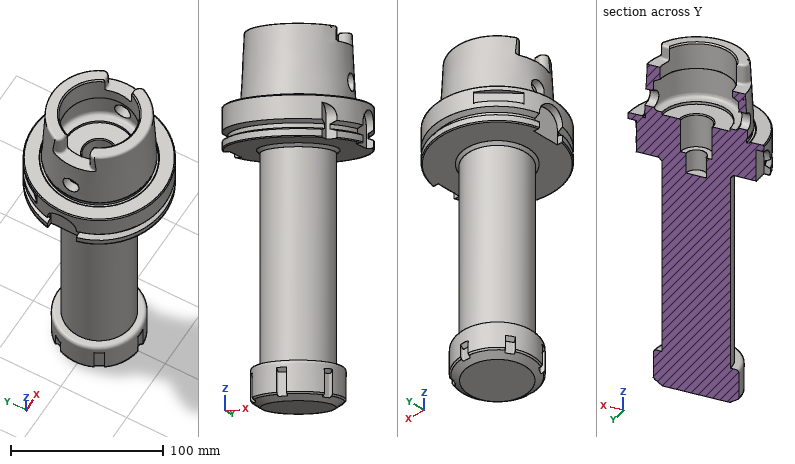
import cadquery as cq
import math

total_length = 250.0
nut_top = 26.2
flange_bottom = 171.5
rim_top = 176.8
neck_bottom = 178.2
neck_top = 181.2
collar_bottom = 183.5
flange_top = 200.0
taper_base = 202.2

shaft_radius = 25.2
nut_radius = 31.5
flange_radius = 50.0
neck_radius = 46.2
taper_base_radius = 38.0
taper_end_radius = 35.5

nut_face_radius = 24.8
nut_lead_radius = 30.5
nut_lead_height = 3.8
nut_wall_bottom = 5.0
nut_top_fillet = 2.5

shaft_chamfer = 2.2
flange_chamfer = 0.8
shank_end_fillet = 1.8

relief_inner_radius = 37.2
relief_outer_radius = 39.0
relief_depth = 1.0
relief_chamfer = 0.5

entry_radius = 26.5
entry_chamfer = 1.0
shoulder_z = 230.5
shoulder_angle = 60.0
chamber_radius = 31.0
chamber_floor = 206.5
chamber_fillet = 3.0
pilot_radius = 24.8
pilot_floor = 204.5
thread_radius = 12.2
thread_chamfer = 0.8
thread_floor = 180.0
coolant_radius = 7.2
coolant_floor = 165.0

drive_width = 20.0
drive_floors = {-1: 235.2, 1: 239.8}
drive_floor_fillet = 1.8
prong_flat_x = 32.2
prong_fillet = 4.5

cross_hole_radius = 6.0
cross_hole_z = 214.5

gripper_widths = {-1: 22.0, 1: 20.0}
gripper_top = 195.0
gripper_floor = 44.0

notch_floor_x = 31.2
notch_wall_y = -31.5
notch_radius = 9.2
notch_top = 195.0

chip_angle = 135
chip_width = 33.0
chip_bottom = 187.8
chip_top = 196.2
chip_floor = 46.5

spanner_count = 6
spanner_start_angle = 30
spanner_width = 6.8
spanner_floor = 28.8
spanner_fillet = 0.8
tall_spanner_top = 21.5
short_spanner_top = 14.8


def turn(points):
    """Revolve an (R, Z) outline about the Z axis."""
    return cq.Workplane("XZ").polyline(points).close().revolve(360, (0, 0, 0), (0, 1, 0))


def nut():
    blank = turn([
        (0, 0),
        (nut_face_radius, 0),
        (nut_lead_radius, nut_lead_height),
        (nut_radius, nut_wall_bottom),
        (nut_radius, nut_top),
        (0, nut_top),
    ])
    return blank.faces(">Z").edges().fillet(nut_top_fillet)


def holder_body():
    relief_floor = flange_top - relief_depth
    return turn([
        (0, nut_wall_bottom),
        (shaft_radius, nut_wall_bottom),
        (shaft_radius, flange_bottom - shaft_chamfer),
        (shaft_radius + shaft_chamfer, flange_bottom),
        (flange_radius - flange_chamfer, flange_bottom),
        (flange_radius, flange_bottom + flange_chamfer),
        (flange_radius, rim_top),
        (neck_radius, neck_bottom),
        (neck_radius, neck_top),
        (flange_radius, collar_bottom),
        (flange_radius, flange_top - flange_chamfer),
        (flange_radius - flange_chamfer, flange_top),
        (relief_outer_radius + relief_chamfer, flange_top),
        (relief_outer_radius, flange_top - relief_chamfer),
        (relief_outer_radius, relief_floor),
        (relief_inner_radius, relief_floor),
        (relief_inner_radius, taper_base - relief_chamfer),
        (taper_base_radius, taper_base),
        (taper_end_radius, total_length),
        (0, total_length),
    ])


def shank_interior():
    shoulder_drop = (chamber_radius - entry_radius) / math.tan(math.radians(shoulder_angle))
    chamber = turn([
        (0, chamber_floor),
        (chamber_radius, chamber_floor),
        (chamber_radius, shoulder_z - shoulder_drop),
        (entry_radius, shoulder_z),
        (entry_radius, total_length - entry_chamfer),
        (entry_radius + entry_chamfer, total_length),
        (0, total_length),
    ])
    chamber = chamber.faces("<Z").edges().fillet(chamber_fillet)
    thread_core_radius = thread_radius - thread_chamfer
    coolant_bore = turn([
        (0, coolant_floor),
        (coolant_radius, coolant_floor),
        (coolant_radius, thread_floor),
        (thread_core_radius, thread_floor),
        (thread_core_radius, pilot_floor - thread_chamfer),
        (thread_radius, pilot_floor),
        (pilot_radius, pilot_floor),
        (pilot_radius, chamber_floor),
        (0, chamber_floor),
    ])
    return chamber.union(coolant_bore)


def drive_slot(side):
    """Slot that opens, round two rounded prong corners, onto a flat across the prong ends."""
    floor = drive_floors[side]
    half = drive_width / 2
    cutter = (
        cq.Workplane("XY", origin=(0, 0, floor))
        .polyline([
            (0, -half),
            (prong_flat_x, -half),
            (prong_flat_x, -flange_radius),
            (flange_radius, -flange_radius),
            (flange_radius, flange_radius),
            (prong_flat_x, flange_radius),
            (prong_flat_x, half),
            (0, half),
        ])
        .close()
        .extrude(total_length - floor)
    )
    prong_corners = cq.selectors.BoxSelector(
        (prong_flat_x - prong_fillet, -half - prong_fillet, floor),
        (prong_flat_x + prong_fillet, half + prong_fillet, total_length),
    )
    cutter = cutter.edges("|Z").edges(prong_corners).fillet(prong_fillet)
    cutter = cutter.faces("<Z").edges("not(<X or >X or <Y or >Y)").fillet(drive_floor_fillet)
    return cutter if side > 0 else cutter.rotate((0, 0, 0), (0, 0, 1), 180)


def cross_hole():
    return (
        cq.Workplane("YZ", origin=(-flange_radius, 0, cross_hole_z))
        .circle(cross_hole_radius)
        .extrude(2 * flange_radius)
    )


def gripper_slot(side):
    half = gripper_widths[side] / 2
    spring_z = gripper_top - half
    return (
        cq.Workplane("YZ", origin=(side * gripper_floor, 0, 0))
        .moveTo(-half, flange_bottom)
        .lineTo(-half, spring_z)
        .threePointArc((0, gripper_top), (half, spring_z))
        .lineTo(half, flange_bottom)
        .close()
        .extrude(side * flange_radius)
    )


def orientation_notch():
    """Notch with a rounded upper corner, open through the flange bottom and side."""
    return (
        cq.Workplane("YZ", origin=(notch_floor_x, 0, 0))
        .moveTo(notch_wall_y, flange_bottom)
        .lineTo(notch_wall_y, notch_top - notch_radius)
        .radiusArc((notch_wall_y - notch_radius, notch_top), -notch_radius)
        .lineTo(-flange_radius, notch_top)
        .lineTo(-flange_radius, flange_bottom)
        .close()
        .extrude(flange_radius)
    )


def chip_pocket():
    return (
        cq.Workplane("XY", origin=(chip_floor, 0, chip_bottom))
        .box(flange_radius, chip_width, chip_top - chip_bottom, centered=(False, True, False))
        .rotate((0, 0, 0), (0, 0, 1), chip_angle)
    )


def spanner_slot(angle, top):
    """Parallel-walled slot with a ceiling that slopes down to its floor at 45 degrees."""
    depth = nut_radius - spanner_floor
    cutter = (
        cq.Workplane("XZ")
        .polyline([
            (spanner_floor, 0),
            (spanner_floor, top - depth),
            (nut_radius, top),
            (nut_radius, 0),
        ])
        .close()
        .extrude(spanner_width / 2, both=True)
        .faces("<X").edges("|Z").fillet(spanner_fillet)
    )
    return cutter.rotate((0, 0, 0), (0, 0, 1), angle)


result = holder_body()

for x_side in drive_floors:
    result = result.cut(drive_slot(x_side))

result = result.faces(">Z").edges().fillet(shank_end_fillet)
result = result.cut(shank_interior()).cut(cross_hole())

for x_side in gripper_widths:
    result = result.cut(gripper_slot(x_side))

result = result.cut(orientation_notch()).cut(chip_pocket()).union(nut())

for index in range(spanner_count):
    slot_angle = spanner_start_angle + index * 360 / spanner_count
    slot_top = short_spanner_top if slot_angle < 180 else tall_spanner_top
    result = result.cut(spanner_slot(slot_angle, slot_top))